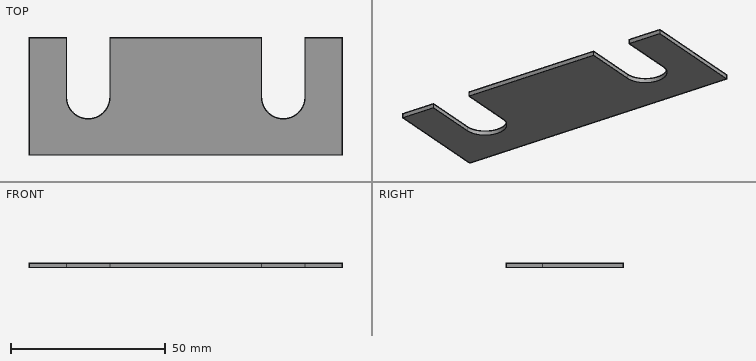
import cadquery as cq

length = 101.6
width = 38.1
thickness = 1.5

slot_width = 14.0
slot_spacing = 63.3
slot_depth = 26.3

slot_radius = slot_width / 2
back_edge = width / 2
arc_center_y = back_edge - slot_depth + slot_radius


def slot_cutter(center_x):
    """Solid that removes one open-ended slot through the plate."""
    return (
        cq.Workplane("XY")
        .moveTo(center_x - slot_radius, back_edge)
        .lineTo(center_x - slot_radius, arc_center_y)
        .threePointArc(
            (center_x, arc_center_y - slot_radius),
            (center_x + slot_radius, arc_center_y),
        )
        .lineTo(center_x + slot_radius, back_edge)
        .close()
        .extrude(thickness)
    )


result = cq.Workplane("XY").box(length, width, thickness, centered=(True, True, False))
for side in (-1, 1):
    result = result.cut(slot_cutter(side * slot_spacing / 2))